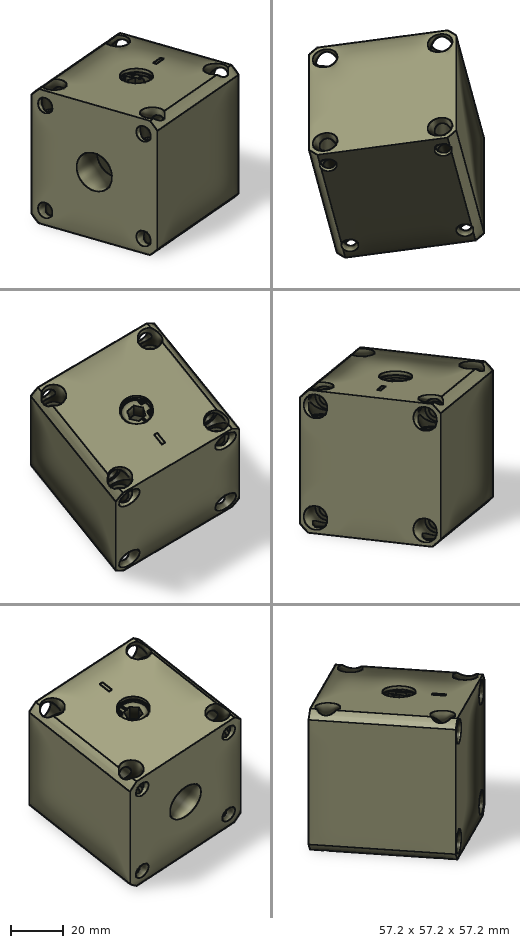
import cadquery as cq
import math

CUBE = 57.15
HALF = CUBE / 2
CORNER_RADIUS = 38.1

HOLE_SPACING = 44.6
HOLE_DIAMETER = 6.5
COUNTERBORE_DIAMETER = 9.55
COUNTERBORE_DEPTH = 12.7

BORE_DIAMETER = 16.0
PLUNGER_FACE_DEPTH = 14.3
PLUNGER_LENGTH = 14.3

SCREW_Y = 1.0
WELL_DIAMETER = 12.7
RING_RECESS = 1.5
RING_THICKNESS = 1.05
RING_OUTER_DIAMETER = 14.3
RING_INNER_DIAMETER = 11.8
SCREW_DIAMETER = 11.8
SCREW_LENGTH = 14.3

LUG_GAP = 4.1
LUG_INNER_X = 3.6
LUG_TOP = 5.05
LUG_FILLET = 0.45
LUG_HOLE_X = 4.6
LUG_HOLE_Y = 3.2
LUG_HOLE_DIAMETER = 1.25

HEX_ACROSS_FLATS = 6.25
HEX_DEPTH = 6.85
HEAD_TURN = 11.0
GROOVE_WIDTH = 0.8

MARK_WIDTH = 1.45
MARK_LENGTH = 5.25
MARK_Y = 16.5
MARK_DEPTH = 0.2

RING_TOP = HALF - RING_RECESS
RING_BOTTOM = RING_TOP - RING_THICKNESS
SCREW_BOTTOM = RING_BOTTOM - SCREW_LENGTH
PLUNGER_FACE_Y = PLUNGER_FACE_DEPTH - HALF
PLUNGER_BACK_Y = PLUNGER_FACE_Y + PLUNGER_LENGTH


def upright_cylinder(diameter, bottom, top, x=0.0, y=SCREW_Y):
    """Cylinder along Z between two heights."""
    return cq.Workplane("XY", origin=(x, y, bottom)).circle(diameter / 2).extrude(top - bottom)


def bore_cylinder(diameter, start, end, x=0.0, z=0.0):
    """Cylinder along Y between two Y positions."""
    return cq.Workplane("XZ", origin=(x, start, z)).circle(diameter / 2).extrude(start - end)


def make_housing():
    cube = cq.Workplane("XY").box(CUBE, CUBE, CUBE)
    body = cube.intersect(bore_cylinder(2 * CORNER_RADIUS, -HALF, HALF))
    offset = HOLE_SPACING / 2
    counterbore_floor = HALF - COUNTERBORE_DEPTH
    for x in (-offset, offset):
        for side_offset in (-offset, offset):
            body = body.cut(bore_cylinder(HOLE_DIAMETER, -HALF, HALF, x, side_offset))
            body = body.cut(bore_cylinder(COUNTERBORE_DIAMETER, counterbore_floor, HALF, x, side_offset))
            body = body.cut(upright_cylinder(HOLE_DIAMETER, -HALF, HALF, x, side_offset))
            body = body.cut(upright_cylinder(COUNTERBORE_DIAMETER, counterbore_floor, HALF, x, side_offset))
    body = body.cut(bore_cylinder(BORE_DIAMETER, -HALF, PLUNGER_BACK_Y))
    body = body.cut(upright_cylinder(WELL_DIAMETER, RING_TOP, HALF))
    body = body.cut(upright_cylinder(RING_OUTER_DIAMETER, RING_BOTTOM, RING_TOP))
    body = body.cut(upright_cylinder(SCREW_DIAMETER, SCREW_BOTTOM, RING_BOTTOM))
    mark = cq.Workplane("XY", origin=(0, MARK_Y, HALF - MARK_DEPTH)).rect(MARK_WIDTH, MARK_LENGTH)
    return body.cut(mark.extrude(MARK_DEPTH))


def make_retaining_ring():
    disc = upright_cylinder(RING_OUTER_DIAMETER, RING_BOTTOM, RING_TOP)
    ring = disc.cut(upright_cylinder(RING_INNER_DIAMETER, RING_BOTTOM, RING_TOP))
    lug_span = RING_OUTER_DIAMETER / 2 - LUG_INNER_X
    lugs = (
        cq.Workplane("XY", origin=(-LUG_INNER_X - lug_span / 2, SCREW_Y, RING_BOTTOM))
        .rect(lug_span, 2 * LUG_TOP)
        .extrude(RING_THICKNESS)
        .edges("|Z and >X")
        .fillet(LUG_FILLET)
        .intersect(disc)
    )
    gap = (
        cq.Workplane("XY", origin=(-RING_OUTER_DIAMETER / 2, SCREW_Y, RING_BOTTOM))
        .rect(RING_OUTER_DIAMETER, LUG_GAP)
        .extrude(RING_THICKNESS)
    )
    ring = ring.union(lugs).cut(gap)
    for side in (-1, 1):
        ring = ring.cut(
            upright_cylinder(
                LUG_HOLE_DIAMETER, RING_BOTTOM, RING_TOP, -LUG_HOLE_X, SCREW_Y + side * LUG_HOLE_Y
            )
        )
    return ring


def make_screw():
    screw = upright_cylinder(SCREW_DIAMETER, SCREW_BOTTOM, RING_BOTTOM)
    head = cq.Workplane("XY", origin=(0, SCREW_Y, RING_BOTTOM)).transformed(rotate=(0, 0, HEAD_TURN))
    hexagon = head.polygon(6, HEX_ACROSS_FLATS / math.cos(math.pi / 6)).extrude(-HEX_DEPTH)
    groove = head.transformed(rotate=(-90, 0, 0)).circle(GROOVE_WIDTH / 2).extrude(SCREW_DIAMETER)
    return screw.cut(hexagon).cut(groove)


def make_plunger():
    return bore_cylinder(BORE_DIAMETER, PLUNGER_FACE_Y, PLUNGER_BACK_Y)


housing = make_housing()
retaining_ring = make_retaining_ring()
screw = make_screw()
plunger = make_plunger()

result = cq.Compound.makeCompound([housing.val(), retaining_ring.val(), screw.val(), plunger.val()])